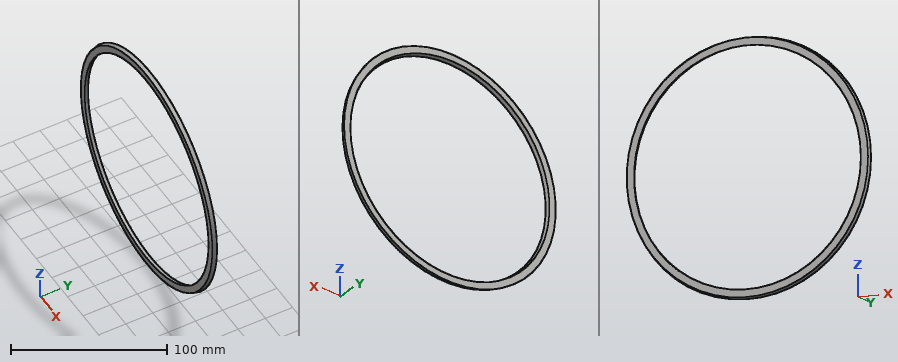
import cadquery as cq

outer_diameter = 171.0
bore_diameter = 159.0
thickness = 3.0
flare = 0.9

outer_radius = outer_diameter / 2
bore_radius = bore_diameter / 2
front_y = -thickness / 2
back_y = thickness / 2
section = [
    (bore_radius, front_y),
    (outer_radius - flare, front_y),
    (outer_radius, back_y),
    (bore_radius + flare, back_y),
]

result = cq.Workplane("XY").polyline(section).close().revolve(360, (0, 0, 0), (0, 1, 0))